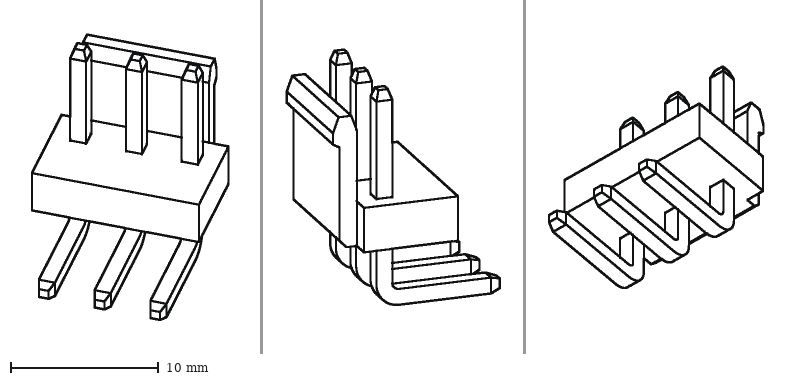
import cadquery as cq


PIN_COUNT = 3
PIN_PITCH = 3.95
PIN_SIZE = 1.15
PIN_Y = -1.98
PIN_TOP = 10.88
PIN_BOTTOM = -4.6
PIN_FRONT = -10.38
BEND_INNER_RADIUS = 0.5
BEND_OUTER_RADIUS = BEND_INNER_RADIUS + PIN_SIZE
TIP_LENGTH = 0.71
TIP_FLAT = 0.68

BASE_WIDTH = 11.82
BASE_DEPTH = 6.78
BASE_HEIGHT = 3.19

WALL_WIDTH = (PIN_COUNT - 1) * PIN_PITCH + PIN_SIZE
WALL_THICKNESS = 1.24
WALL_TOP = BASE_HEIGHT + 6.19
WALL_FOOT_CHAMFER = 0.5
HOOK_BACK = 1.72
LEAD_IN_DEPTH = 0.4
LEAD_IN_HEIGHT = 1.1
HOOK_EDGE_DROP = 1.9
HOOK_ROOT_DROP = 2.2

pin_positions = [(i - (PIN_COUNT - 1) / 2) * PIN_PITCH for i in range(PIN_COUNT)]


def make_latch_wall():
    """Upright wall with a tapered hook along its top edge."""
    return (
        cq.Workplane("YZ", origin=(-WALL_WIDTH / 2, 0, 0))
        .moveTo(0, 0)
        .lineTo(WALL_THICKNESS - WALL_FOOT_CHAMFER, 0)
        .lineTo(WALL_THICKNESS, WALL_FOOT_CHAMFER)
        .lineTo(WALL_THICKNESS, WALL_TOP - HOOK_ROOT_DROP)
        .lineTo(HOOK_BACK, WALL_TOP - HOOK_EDGE_DROP)
        .lineTo(HOOK_BACK, WALL_TOP - LEAD_IN_HEIGHT)
        .lineTo(HOOK_BACK - LEAD_IN_DEPTH, WALL_TOP)
        .lineTo(LEAD_IN_DEPTH, WALL_TOP)
        .lineTo(0, WALL_TOP - LEAD_IN_HEIGHT)
        .close()
        .extrude(WALL_WIDTH)
    )


def make_housing():
    """Base block joined to the latch wall, with a square through hole for each pin."""
    base = cq.Workplane("XY").box(BASE_WIDTH, BASE_DEPTH, BASE_HEIGHT, centered=(True, False, False))
    base = base.translate((0, -BASE_DEPTH, 0))
    pin_holes = (
        cq.Workplane("XY")
        .pushPoints([(x, PIN_Y) for x in pin_positions])
        .rect(PIN_SIZE, PIN_SIZE)
        .extrude(BASE_HEIGHT)
    )
    return base.union(make_latch_wall()).cut(pin_holes)


def add_tapered_tip(pin, end_face):
    """Extend the selected square end face of a pin with a tapered tip."""
    return (
        pin.faces(end_face)
        .workplane(centerOption="CenterOfMass")
        .rect(PIN_SIZE, PIN_SIZE)
        .workplane(offset=TIP_LENGTH)
        .rect(TIP_FLAT, TIP_FLAT)
        .loft(combine=True)
    )


def make_pin(x):
    """Square pin bent from vertical to horizontal, tapered at both ends."""
    bend_y = PIN_Y + PIN_SIZE / 2 - BEND_OUTER_RADIUS
    bend_z = PIN_BOTTOM + BEND_OUTER_RADIUS
    upright = (
        cq.Workplane("XY", origin=(0, PIN_Y, bend_z))
        .rect(PIN_SIZE, PIN_SIZE)
        .extrude(PIN_TOP - TIP_LENGTH - bend_z)
    )
    horizontal = (
        cq.Workplane("XZ", origin=(0, bend_y, PIN_BOTTOM + PIN_SIZE / 2))
        .rect(PIN_SIZE, PIN_SIZE)
        .extrude(bend_y - PIN_FRONT - TIP_LENGTH)
    )
    bend = (
        cq.Workplane("YZ", origin=(-PIN_SIZE / 2, bend_y, bend_z))
        .circle(BEND_OUTER_RADIUS)
        .circle(BEND_INNER_RADIUS)
        .extrude(PIN_SIZE)
    )
    bend_quarter = (
        cq.Workplane("XY")
        .box(PIN_SIZE, BEND_OUTER_RADIUS, BEND_OUTER_RADIUS, centered=(True, False, False))
        .translate((0, bend_y, PIN_BOTTOM))
    )
    pin = upright.union(bend.intersect(bend_quarter)).union(horizontal)
    pin = add_tapered_tip(pin, ">Z")
    pin = add_tapered_tip(pin, "<Y")
    return pin.translate((x, 0, 0))


housing = make_housing()
pins = [make_pin(x) for x in pin_positions]

result = cq.Compound.makeCompound([housing.solids().val(), *[pin.solids().val() for pin in pins]])